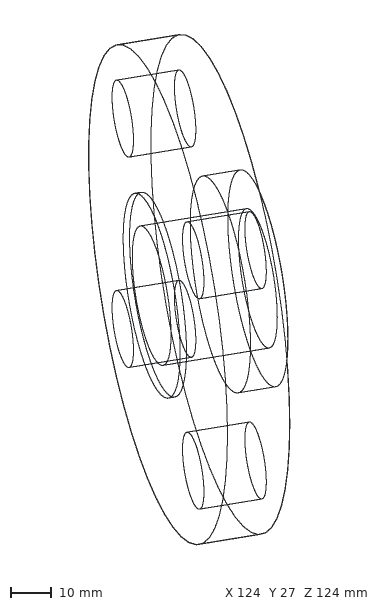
import cadquery as cq

flange_diameter = 124.0
flange_thickness = 15.9
raised_face_diameter = 50.8
raised_face_height = 1.6
hub_diameter = 53.8
hub_height = 9.5
bore_diameter = 34.6
bolt_hole_diameter = 19.1
bolt_circle_diameter = 88.9
bolt_count = 4
first_bolt_angle = 45.0

total_length = raised_face_height + flange_thickness + hub_height


def cylinder_along_y(diameter, start_y, length):
    """Solid cylinder on the flange axis, extending toward +Y from start_y."""
    plane = cq.Workplane("XZ", origin=(0, start_y, 0))
    return plane.circle(diameter / 2).extrude(-length)


flange_start = raised_face_height
hub_start = flange_start + flange_thickness
raised_face = cylinder_along_y(raised_face_diameter, 0, raised_face_height)
flange = cylinder_along_y(flange_diameter, flange_start, flange_thickness)
hub = cylinder_along_y(hub_diameter, hub_start, hub_height)
body = flange.union(raised_face).union(hub)

bore = cylinder_along_y(bore_diameter, 0, total_length)

bolt_holes = (
    cq.Workplane("XZ", origin=(0, flange_start, 0))
    .polarArray(bolt_circle_diameter / 2, first_bolt_angle, 360, bolt_count)
    .circle(bolt_hole_diameter / 2)
    .extrude(-flange_thickness)
)

result = body.cut(bore).cut(bolt_holes)